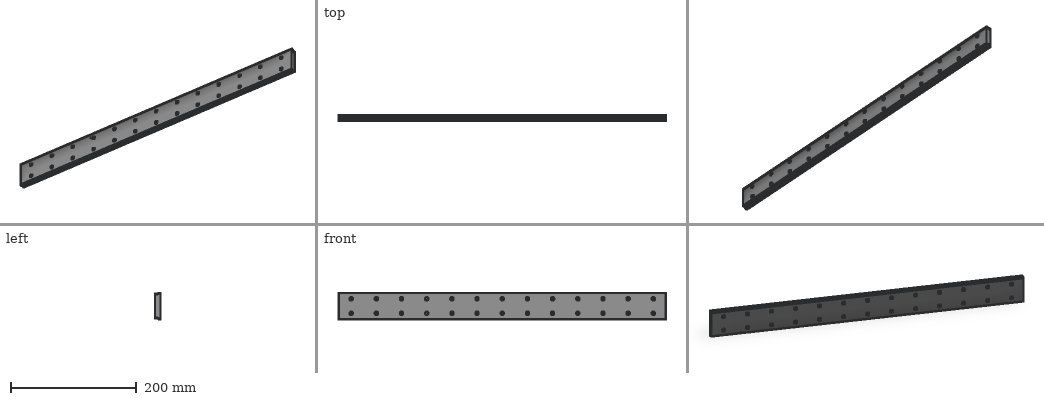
import cadquery as cq

LENGTH = 520.0
THICKNESS = 9.5
FRONT_HEIGHT = 42.0
BACK_HEIGHT = 40.2
EDGE_CHAMFER = 0.5

GROOVE_RADIUS = 3.25
GROOVE_CENTER_Y = 6.05
GROOVE_CENTER_ABOVE_EDGE = 1.4

RELIEF_WIDTH = 1.1
RELIEF_DEPTH = 0.25

HOLE_DIAMETER = 4.5
HOLE_COLUMNS = 13
HOLE_ROWS = 2
HOLE_PITCH = 40.0
HOLE_ROW_SPACING = 23.0

GROOVE_CENTER_Z = FRONT_HEIGHT / 2 + GROOVE_CENTER_ABOVE_EDGE
RELIEF_FLOOR_Z = GROOVE_CENTER_Z - GROOVE_RADIUS - RELIEF_DEPTH


def cross_section_plane():
    """YZ plane at the left end of the rail, facing +X."""
    return cq.Workplane("YZ", origin=(-LENGTH / 2, 0, 0))


def make_body():
    """Bar with a taller front part, stepping down to the back at the groove centre."""
    front_z = FRONT_HEIGHT / 2
    back_z = BACK_HEIGHT / 2
    upper_half = [
        (0, front_z - EDGE_CHAMFER),
        (EDGE_CHAMFER, front_z),
        (GROOVE_CENTER_Y, front_z),
        (GROOVE_CENTER_Y, back_z),
        (THICKNESS - EDGE_CHAMFER, back_z),
        (THICKNESS, back_z - EDGE_CHAMFER),
    ]
    lower_half = [(y, -z) for y, z in reversed(upper_half)]
    return cross_section_plane().polyline(upper_half + lower_half).close().extrude(LENGTH)


def make_groove(side):
    """Groove and relief cutter for the top edge (side = 1) or bottom edge (side = -1)."""
    round_groove = (
        cross_section_plane()
        .center(GROOVE_CENTER_Y, side * GROOVE_CENTER_Z)
        .circle(GROOVE_RADIUS)
        .extrude(LENGTH)
    )
    relief_height = GROOVE_CENTER_Z - RELIEF_FLOOR_Z
    relief_middle_z = RELIEF_FLOOR_Z + relief_height / 2
    relief = (
        cross_section_plane()
        .center(GROOVE_CENTER_Y, side * relief_middle_z)
        .rect(RELIEF_WIDTH, relief_height)
        .extrude(LENGTH)
    )
    return round_groove.union(relief)


def make_holes():
    """Grid of cylinders passing through the thickness along Y."""
    return (
        cq.Workplane("XZ")
        .rarray(HOLE_PITCH, HOLE_ROW_SPACING, HOLE_COLUMNS, HOLE_ROWS)
        .circle(HOLE_DIAMETER / 2)
        .extrude(-THICKNESS)
    )


result = make_body()
for edge_side in (1, -1):
    result = result.cut(make_groove(edge_side))
result = result.cut(make_holes())